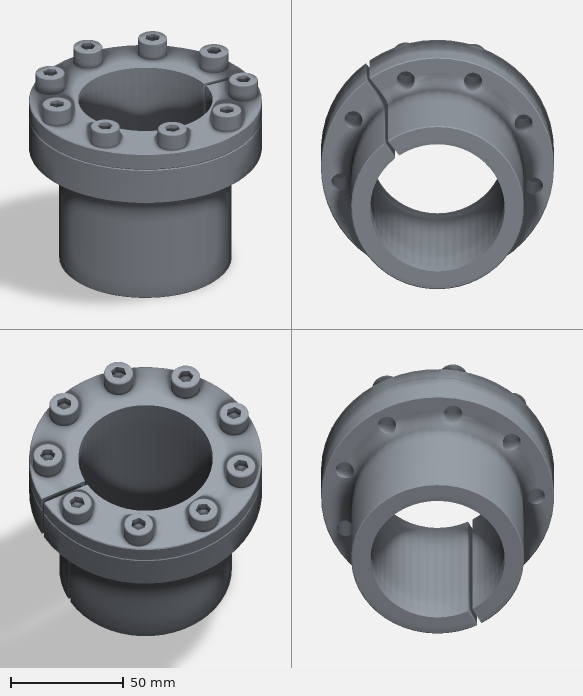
import cadquery as cq
import math

flange_diameter = 103.9
sleeve_diameter = 77.0
bore_diameter = 60.0
flange_bottom = 55.0
joint_height = 72.0
flange_top = 80.0
neck_radius = 5.5
edge_chamfer = 0.4

slit_width = 2.3
slit_angle = 72.0

screw_count = 9
first_screw_angle = 90.0
screw_circle_radius = 43.9
head_diameter = 13.0
head_height = 8.0
head_edge_radius = 0.7
socket_width = 6.0
socket_depth = 4.0
hole_diameter = 8.0

flange_radius = flange_diameter / 2
sleeve_radius = sleeve_diameter / 2
bore_radius = bore_diameter / 2
socket_corner_diameter = socket_width / math.cos(math.radians(30))


def make_body():
    """Revolve the sleeve, its filleted neck and the two flanges.

    The chamfers of the two flanges meet in a V-groove at the joint.
    """
    chamfered_radius = flange_radius - edge_chamfer
    neck_start = flange_bottom - neck_radius
    profile = (
        cq.Workplane("XZ")
        .moveTo(bore_radius, 0)
        .lineTo(sleeve_radius - edge_chamfer, 0)
        .lineTo(sleeve_radius, edge_chamfer)
        .lineTo(sleeve_radius, neck_start)
        .radiusArc((sleeve_radius + neck_radius, flange_bottom), neck_radius)
        .lineTo(chamfered_radius, flange_bottom)
        .lineTo(flange_radius, flange_bottom + edge_chamfer)
        .lineTo(flange_radius, joint_height - edge_chamfer)
        .lineTo(chamfered_radius, joint_height)
        .lineTo(flange_radius, joint_height + edge_chamfer)
        .lineTo(flange_radius, flange_top - edge_chamfer)
        .lineTo(chamfered_radius, flange_top)
        .lineTo(bore_radius, flange_top)
        .close()
    )
    return profile.revolve(360, (0, 0, 0), (0, 1, 0))


def make_slit():
    """Radial slot from the axis out past the rim, over the full height."""
    return (
        cq.Workplane("XY")
        .box(flange_diameter, slit_width, flange_top, centered=(False, True, False))
        .rotate((0, 0, 0), (0, 0, 1), slit_angle)
    )


def make_screw_head():
    """Socket head on the +X axis, with a hexagon corner pointing outward."""
    head = (
        cq.Workplane("XY", origin=(screw_circle_radius, 0, flange_top))
        .circle(head_diameter / 2)
        .extrude(head_height)
        .faces(">Z")
        .edges()
        .fillet(head_edge_radius)
    )
    socket = (
        cq.Workplane("XY", origin=(screw_circle_radius, 0, flange_top + head_height))
        .polygon(6, socket_corner_diameter)
        .extrude(-socket_depth)
    )
    return head.cut(socket)


def make_screw_hole():
    """Blind hole on the +X axis that rises to the joint and notches the neck."""
    return (
        cq.Workplane("XY", origin=(screw_circle_radius, 0, flange_bottom - neck_radius))
        .circle(hole_diameter / 2)
        .extrude(joint_height - flange_bottom + neck_radius)
    )


result = make_body().cut(make_slit())
screw_head = make_screw_head()
screw_hole = make_screw_hole()
for index in range(screw_count):
    angle = first_screw_angle + index * 360 / screw_count
    result = result.cut(screw_hole.rotate((0, 0, 0), (0, 0, 1), angle))
    result = result.union(screw_head.rotate((0, 0, 0), (0, 0, 1), angle))